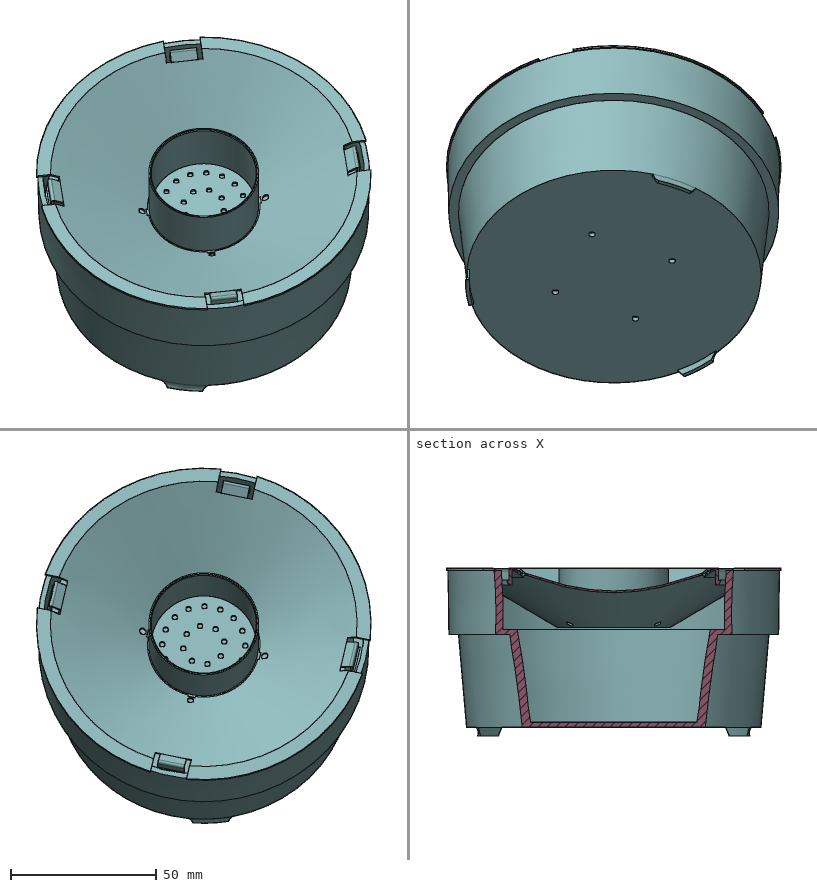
import cadquery as cq
import math

top_z = 54.8
sheet = 0.8
rim_z = top_z - sheet
shoulder_z = 31.9

wall = 1.8
rim_radius = 57.1
upper_foot_radius = 56.7
lower_top_radius = 53.4
base_radius = 50.6

foot_angles = [60, 180, 300]
foot_height = 3.0
foot_top_width = 16.1
foot_bottom_width = 12.2
foot_inner_radius = 49.7
foot_top_radius = base_radius
foot_groove_radius = 50.3
foot_lip_radius = 51.0

flange_radius = 57.5
cone_top_radius = 52.7
cone_foot_radius = 19.3
floor_z = 35.1
cone_slope = (top_z - floor_z) / (cone_top_radius - cone_foot_radius)
tube_inner_diameter = 36.1
tube_outer_diameter = tube_inner_diameter + 2 * sheet
tube_rim_chamfer = 0.3

strainer_hole_diameter = 1.8
strainer_rings = [(8, 7.1), (16, 14.3)]
screw_hole_diameter = 2.2
screw_circle_radius = 21.4
corner_angles = [45, 135, 225, 315]

spot_width = 2.5
spot_radius = 19.8

notch_width = 12.7
notch_inner_radius = 49.2
clip_width = 9.2
clip_bend_start = 52.2
clip_bend_radius = sheet
barb_radius = 54.1
barb_z = top_z - 4.1
barb_height = 1.7


def cone_z(radius):
    """Height of the funnel's upper face at a given radius."""
    return top_z - cone_slope * (cone_top_radius - radius)


def revolved(points):
    """Revolve an outline of (radius, z) points about the Z axis."""
    return cq.Workplane("XZ").polyline(points).close().revolve(360, (0, 0, 0), (0, 1, 0))


def at_angle(body, angle):
    """Copy of a body turned about the Z axis."""
    return body.rotate((0, 0, 0), (0, 0, 1), angle)


def polar_holes(angles, radius, diameter):
    """Vertical cutters on one circle, from the underside of the pot floor up to the funnel top."""
    centres = [
        (radius * math.cos(math.radians(angle)), radius * math.sin(math.radians(angle)))
        for angle in angles
    ]
    return cq.Workplane("XY").pushPoints(centres).circle(diameter / 2).extrude(top_z)


def make_foot():
    """Foot on the +X side: a revolved profile trimmed to a tapered width."""
    ring = (
        cq.Workplane("XZ")
        .moveTo(foot_inner_radius, 0)
        .lineTo(foot_top_radius, 0)
        .threePointArc((foot_groove_radius, -foot_height / 2), (foot_lip_radius, -foot_height))
        .lineTo(foot_inner_radius, -foot_height)
        .close()
        .revolve(360, (0, 0, 0), (0, 1, 0))
    )
    trim = (
        cq.Workplane("YZ")
        .polyline([
            (-foot_top_width / 2, 0),
            (foot_top_width / 2, 0),
            (foot_bottom_width / 2, -foot_height),
            (-foot_bottom_width / 2, -foot_height),
        ])
        .close()
        .extrude(flange_radius)
    )
    return ring.intersect(trim)


def make_pot():
    """Stepped, tapered pot with three feet and four screw holes in its floor."""
    pot = revolved([
        (0, 0),
        (base_radius, 0),
        (lower_top_radius, shoulder_z),
        (upper_foot_radius, shoulder_z),
        (rim_radius, rim_z),
        (rim_radius - wall, rim_z),
        (upper_foot_radius - wall, shoulder_z + wall),
        (lower_top_radius - wall, shoulder_z + wall),
        (base_radius - wall, wall),
        (0, wall),
    ])
    pot = pot.cut(polar_holes(corner_angles, screw_circle_radius, screw_hole_diameter))
    for angle in foot_angles:
        pot = pot.union(at_angle(make_foot(), angle))
    return pot


def make_clip():
    """Snap clip on the +X side: a sloped tongue bent down into a leg with an outward barb."""
    slope_angle = math.atan(cone_slope)
    bend_x = clip_bend_start + clip_bend_radius * math.sin(slope_angle)
    bend_z = cone_z(clip_bend_start) - clip_bend_radius * math.cos(slope_angle)
    bend_middle_angle = (math.pi / 2 + slope_angle) / 2
    bend_middle = (
        bend_x + clip_bend_radius * math.cos(bend_middle_angle),
        bend_z + clip_bend_radius * math.sin(bend_middle_angle),
    )
    leg_outer = bend_x + clip_bend_radius
    leg_inner = leg_outer - sheet
    leg_foot_z = barb_z - barb_height
    root_radius = notch_inner_radius - sheet
    return (
        cq.Workplane("XZ")
        .moveTo(root_radius, cone_z(root_radius))
        .lineTo(clip_bend_start, cone_z(clip_bend_start))
        .threePointArc(bend_middle, (leg_outer, bend_z))
        .lineTo(leg_outer, barb_z)
        .lineTo(barb_radius, barb_z)
        .lineTo(leg_outer, leg_foot_z)
        .lineTo(leg_inner, leg_foot_z)
        .lineTo(leg_inner, cone_z(leg_inner) - sheet)
        .lineTo(root_radius, cone_z(root_radius) - sheet)
        .close()
        .extrude(clip_width / 2, both=True)
    )


def make_funnel():
    """Flanged conical sheet with a strainer tube at its centre and a clip in each rim notch."""
    tube_inner = tube_inner_diameter / 2
    tube_outer = tube_outer_diameter / 2
    funnel = revolved([
        (0, floor_z),
        (tube_inner, floor_z),
        (tube_inner, top_z - tube_rim_chamfer),
        (tube_inner + tube_rim_chamfer, top_z),
        (tube_outer, top_z),
        (tube_outer, floor_z),
        (cone_foot_radius, floor_z),
        (cone_top_radius, top_z),
        (flange_radius, top_z),
        (flange_radius, rim_z),
        (cone_top_radius, rim_z),
        (cone_foot_radius, floor_z - sheet),
        (0, floor_z - sheet),
    ])

    for count, radius in strainer_rings:
        pitch = 360 / count
        angles = [(index + 0.5) * pitch for index in range(count)]
        funnel = funnel.cut(polar_holes(angles, radius, strainer_hole_diameter))
    funnel = funnel.cut(polar_holes(corner_angles, screw_circle_radius, screw_hole_diameter))

    spot = cq.Workplane("XY").box(
        spot_radius - tube_outer, spot_width, sheet, centered=(False, True, False)
    ).translate((tube_outer, 0, floor_z))
    notch = cq.Workplane("XY").box(
        flange_radius - notch_inner_radius, notch_width, top_z, centered=(False, True, False)
    ).translate((notch_inner_radius, 0, 0))
    for angle in corner_angles:
        funnel = funnel.cut(at_angle(spot, angle))
        funnel = funnel.cut(at_angle(notch, angle))
        funnel = funnel.union(at_angle(make_clip(), angle))
    return funnel


pot = make_pot()
funnel = make_funnel()
result = cq.Compound.makeCompound([pot.solids().val(), funnel.solids().val()])